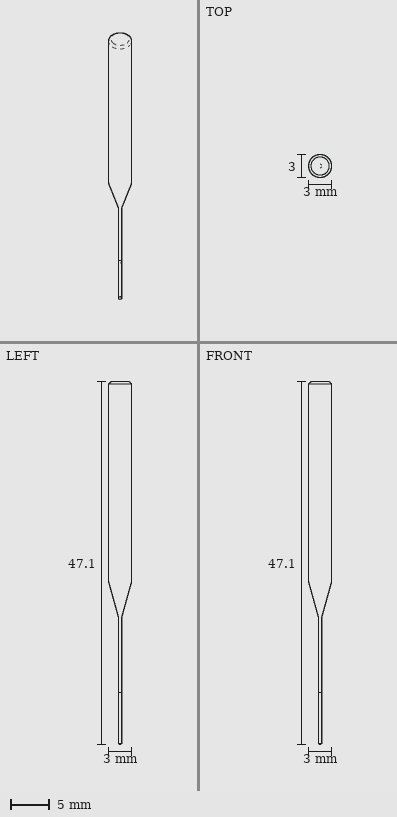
import cadquery as cq

total_length = 47.1
shank_diameter = 3.0
shank_chamfer = 0.35
shank_bottom_z = 21.1
taper_bottom_z = 16.55
stem_diameter = 0.45
cutter_length = 6.75
point_height = 0.15

shank_radius = shank_diameter / 2
stem_radius = stem_diameter / 2


def revolve_profile(points):
    """Turn a closed (radius, height) outline about the Z axis."""
    return (
        cq.Workplane("XZ")
        .polyline(points)
        .close()
        .revolve(360, (0, 0, 0), (0, 1, 0))
    )


def make_holder():
    """Chamfered shank, taper and slender neck in one piece."""
    return revolve_profile([
        (0, cutter_length),
        (stem_radius, cutter_length),
        (stem_radius, taper_bottom_z),
        (shank_radius, shank_bottom_z),
        (shank_radius, total_length - shank_chamfer),
        (shank_radius - shank_chamfer, total_length),
        (0, total_length),
    ])


def make_cutter():
    """Cylindrical cutting end with a shallow conical point."""
    return revolve_profile([
        (0, 0),
        (stem_radius, point_height),
        (stem_radius, cutter_length),
        (0, cutter_length),
    ])


holder = make_holder()
cutter = make_cutter()

result = cq.Compound.makeCompound([holder.val(), cutter.val()])